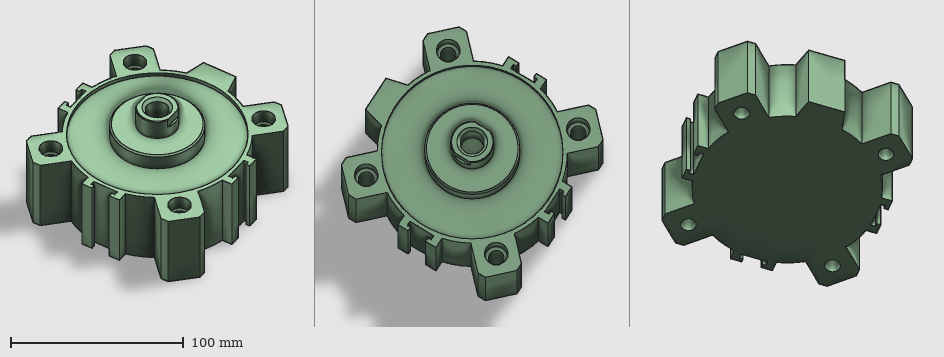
import cadquery as cq


half_width = 60.0
body_diameter = 110.0
body_height = 47.0
recess_diameter = 105.0
recess_depth = 2.5
face_z = body_height - recess_depth

hub_diameter = 55.0
hub_top = 54.5
hub_chamfer = 1.0

lug_width = 25.8
lug_reach = 75.5
bolt_offset = 44.5
bolt_diameter = 9.0
counterbore_diameter = 13.5
counterbore_depth = 8.6

rail_width = 26.0
mouth_width = 12.0
lip_thickness = 2.5
slot_width = 16.3
slot_depth = 5.3
rail_angles = (180, 270, 0)

port_reach = 66.0
port_tip_width = 22.3
port_root_width = 28.7
port_root_y = 53.0

rod_diameter = 25.0
rod_top = 67.5
rod_seat_z = face_z
rod_chamfer = 0.5
flats_width = 22.0
flats_height = 5.5
bore_diameter = 13.9
bore_depth = 15.1
bore_mouth_diameter = 17.6


def upright_cylinder(diameter, bottom_z, top_z):
    return cq.Workplane("XY").workplane(offset=bottom_z).circle(diameter / 2).extrude(top_z - bottom_z)


def radial_block(width, inner, outer, angle):
    """Full-height block from radius `inner` to `outer`, turned `angle` degrees from +X."""
    return (
        cq.Workplane("XY")
        .center((inner + outer) / 2, 0)
        .rect(outer - inner, width)
        .extrude(body_height)
        .rotate((0, 0, 0), (0, 0, 1), angle)
    )


def make_lugs():
    """Two crossed diagonal bars, with their corners trimmed flush with the rails."""
    bars = radial_block(lug_width, -lug_reach, lug_reach, 45)
    bars = bars.union(radial_block(lug_width, -lug_reach, lug_reach, 135))
    envelope = cq.Workplane("XY").rect(2 * half_width, 2 * half_width).extrude(body_height)
    return bars.intersect(envelope)


def make_port_block():
    return (
        cq.Workplane("XY")
        .moveTo(-port_root_width / 2, 0)
        .lineTo(-port_root_width / 2, port_root_y)
        .lineTo(-port_tip_width / 2, port_reach)
        .lineTo(port_tip_width / 2, port_reach)
        .lineTo(port_root_width / 2, port_root_y)
        .lineTo(port_root_width / 2, 0)
        .close()
        .extrude(body_height)
    )


def make_t_slot(angle):
    mouth = radial_block(mouth_width, half_width - slot_depth, half_width, angle)
    undercut = radial_block(slot_width, half_width - slot_depth, half_width - lip_thickness, angle)
    return mouth.union(undercut)


def make_housing():
    housing = upright_cylinder(body_diameter, 0, body_height)
    housing = housing.union(make_lugs()).union(make_port_block())
    for angle in rail_angles:
        housing = housing.union(radial_block(rail_width, 0, half_width, angle))
    for angle in rail_angles:
        housing = housing.cut(make_t_slot(angle))

    housing = housing.cut(upright_cylinder(recess_diameter, face_z, body_height))
    hub = upright_cylinder(hub_diameter, face_z, hub_top).faces(">Z").edges().chamfer(hub_chamfer)
    housing = housing.union(hub)
    housing = housing.cut(upright_cylinder(rod_diameter, rod_seat_z, hub_top))

    for x in (-bolt_offset, bolt_offset):
        for y in (-bolt_offset, bolt_offset):
            hole = upright_cylinder(bolt_diameter, 0, body_height)
            head = upright_cylinder(counterbore_diameter, body_height - counterbore_depth, body_height)
            housing = housing.cut(hole.union(head).translate((x, y, 0)))
    return housing


def make_rod():
    rod = upright_cylinder(rod_diameter, rod_seat_z, rod_top).faces(">Z").edges().chamfer(rod_chamfer)

    tip = upright_cylinder(2 * rod_diameter, rod_top - flats_height, rod_top)
    between_flats = cq.Workplane("XY").rect(flats_width, 2 * rod_diameter).extrude(rod_top)
    rod = rod.cut(tip.cut(between_flats))

    rod = rod.cut(upright_cylinder(bore_diameter, rod_top - bore_depth, rod_top))
    mouth_chamfer = (bore_mouth_diameter - bore_diameter) / 2
    bore_rim = cq.selectors.RadiusNthSelector(0)
    return rod.faces(">Z").edges("%CIRCLE").edges(bore_rim).chamfer(mouth_chamfer)


housing = make_housing()
rod = make_rod()
result = cq.Compound.makeCompound([housing.val(), rod.val()])